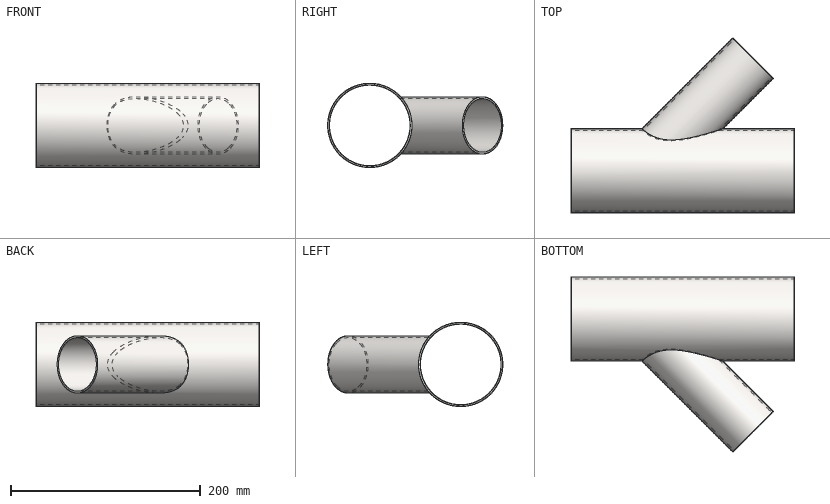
import cadquery as cq
import math

main_length = 235.0
main_outer_diameter = 88.8
main_bore_diameter = 84.8

branch_outer_diameter = 60.5
branch_bore_diameter = 56.5
branch_angle = 45.0
branch_start = 72.8
overall_width = 184.5

angle = math.radians(branch_angle)
tip_height = overall_width - main_outer_diameter / 2
branch_end_height = tip_height - branch_outer_diameter / 2 * math.cos(angle)
branch_length = branch_end_height / math.sin(angle)


def main_cylinder(diameter):
    """Cylinder along the full main axis."""
    return cq.Workplane("YZ").circle(diameter / 2).extrude(main_length)


def branch_cylinder(diameter):
    """Cylinder along the branch axis, from the axis crossing to the open end."""
    branch_plane = cq.Plane(
        origin=(branch_start, 0, 0),
        xDir=(0, 0, 1),
        normal=(math.cos(angle), math.sin(angle), 0),
    )
    return cq.Workplane(branch_plane).circle(diameter / 2).extrude(branch_length)


outer_body = main_cylinder(main_outer_diameter).union(branch_cylinder(branch_outer_diameter))
result = outer_body.cut(main_cylinder(main_bore_diameter)).cut(branch_cylinder(branch_bore_diameter))